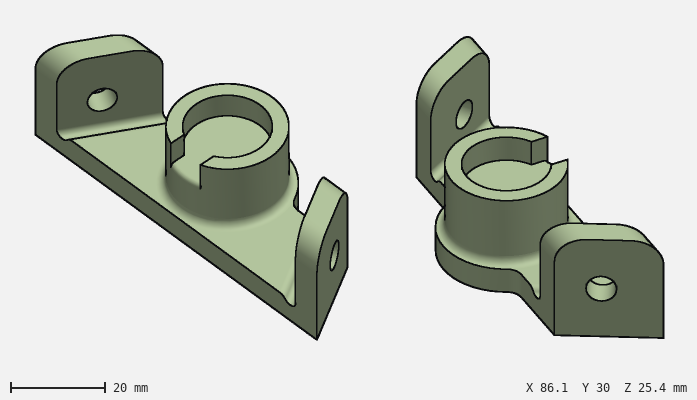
import cadquery as cq
import math

length = 86.1
depth = 20.0
base_height = 6.0
ear_angle = 30.0
lean = math.tan(math.radians(ear_angle))
back_half_length = length / 2 - depth * lean

total_height = 25.4
ear_thickness = 5.7
ear_corner_radius = 6.0
ear_hole_diameter = 6.45
ear_hole_height = 12.6

groove_radius = 1.5
groove_edge_radius = 2.0

pad_radius = 15.0
pad_center_y = pad_radius
pad_blend_radius = 3.4

cup_radius = 13.0
cup_top = 22.55
cup_bore_radius = 9.5
cup_bore_depth = 6.0
cup_floor = cup_top - cup_bore_depth
cup_foot_radius = pad_radius - cup_radius
slot_width = 9.0
slot_edge_radius = 1.0


def trapezoid(height):
    """Full plan outline of the bracket, raised to the given height."""
    outline = [
        (-length / 2, 0),
        (length / 2, 0),
        (back_half_length, depth),
        (-back_half_length, depth),
    ]
    return cq.Workplane("XY").polyline(outline).close().extrude(height)


def ear_frame():
    """Plane across the left ear: x points inward from its outer face, y is Z, origin at mid depth."""
    turn = math.radians(ear_angle)
    return cq.Plane(
        origin=(-length / 2 + depth / 2 * lean, depth / 2, 0),
        xDir=(math.cos(turn), -math.sin(turn), 0),
        normal=(-math.sin(turn), -math.cos(turn), 0),
    )


def left_section():
    """Left ear, the groove at its foot and the base as far as the middle of the part."""
    reach = length
    groove_center = ear_thickness + groove_radius
    center_gap = groove_radius + groove_edge_radius
    edge_run = math.sqrt(center_gap**2 - groove_edge_radius**2)
    edge_center = groove_center + edge_run
    run_ratio = edge_run / center_gap
    drop_ratio = groove_edge_radius / center_gap
    tangent_point = (
        groove_center + groove_radius * run_ratio,
        base_height - groove_radius * drop_ratio,
    )
    groove_angle = (math.pi + math.asin(drop_ratio)) / 2
    groove_middle = (
        groove_center + groove_radius * math.cos(groove_angle),
        base_height - groove_radius * math.sin(groove_angle),
    )
    edge_angle = (math.pi / 2 + math.pi - math.asin(drop_ratio)) / 2
    edge_middle = (
        edge_center + groove_edge_radius * math.cos(edge_angle),
        base_height - groove_edge_radius + groove_edge_radius * math.sin(edge_angle),
    )
    profile = (
        cq.Workplane(ear_frame())
        .moveTo(0, 0)
        .lineTo(0, total_height)
        .lineTo(ear_thickness, total_height)
        .lineTo(ear_thickness, base_height)
        .threePointArc(groove_middle, tangent_point)
        .threePointArc(edge_middle, (edge_center, base_height))
        .lineTo(reach, base_height)
        .lineTo(reach, 0)
        .close()
        .extrude(reach, both=True)
    )
    left_half = (
        cq.Workplane("XY")
        .box(length / 2, depth, total_height, centered=False)
        .translate((-length / 2, 0, 0))
        .edges("|X and >Z")
        .fillet(ear_corner_radius)
    )
    middle_x = -length / 2 + depth / 2 * lean + ear_thickness / math.cos(math.radians(ear_angle)) / 2
    hole_center = (middle_x, depth / 2, ear_hole_height)
    hole = (
        cq.Workplane(cq.Plane(hole_center, normal=ear_frame().xDir))
        .workplane(offset=-ear_thickness)
        .circle(ear_hole_diameter / 2)
        .extrude(2 * ear_thickness)
    )
    return trapezoid(total_height).intersect(left_half).intersect(profile).cut(hole)


def pad_with_blends():
    """Round pad, with concave blends where it leaves the back edge of the plate."""
    blend_y = depth + pad_blend_radius
    rise = blend_y - pad_center_y
    center_gap = pad_radius + pad_blend_radius
    blend_x = math.sqrt(center_gap**2 - rise**2)
    pad_share = pad_radius / center_gap
    tangent_x = blend_x * pad_share
    tangent_y = pad_center_y + rise * pad_share
    blend_angle = (-math.pi / 2 - math.pi + math.atan2(rise, blend_x)) / 2
    middle_x = blend_x + pad_blend_radius * math.cos(blend_angle)
    middle_y = blend_y + pad_blend_radius * math.sin(blend_angle)
    web = (
        cq.Workplane("XY")
        .moveTo(-blend_x, depth)
        .threePointArc((-middle_x, middle_y), (-tangent_x, tangent_y))
        .lineTo(0, pad_center_y)
        .lineTo(tangent_x, tangent_y)
        .threePointArc((middle_x, middle_y), (blend_x, depth))
        .lineTo(blend_x, pad_center_y)
        .lineTo(-blend_x, pad_center_y)
        .close()
        .extrude(base_height)
    )
    pad = cq.Workplane("XY").center(0, pad_center_y).circle(pad_radius).extrude(base_height)
    return pad.union(web)


def cup():
    """Cup with a flared foot, a shallow bore and a slot through the front of its wall."""
    foot_top = base_height + cup_foot_radius
    arc_offset = cup_foot_radius * math.sqrt(0.5)
    foot_middle = (pad_radius - arc_offset, foot_top - arc_offset)
    shoulder = cup_floor - slot_edge_radius
    edge_offset = slot_edge_radius * math.sqrt(0.5)
    edge_middle = (cup_radius - slot_edge_radius + edge_offset, shoulder + edge_offset)
    axis_ends = ((0, 0), (0, 1))
    body = (
        cq.Workplane("XZ")
        .lineTo(pad_radius, 0)
        .lineTo(pad_radius, base_height)
        .threePointArc(foot_middle, (cup_radius, foot_top))
        .lineTo(cup_radius, cup_top)
        .lineTo(cup_bore_radius, cup_top)
        .lineTo(cup_bore_radius, cup_floor)
        .lineTo(0, cup_floor)
        .close()
        .revolve(360, *axis_ends)
    )
    rounded_floor = (
        cq.Workplane("XZ")
        .lineTo(cup_radius, 0)
        .lineTo(cup_radius, shoulder)
        .threePointArc(edge_middle, (cup_radius - slot_edge_radius, cup_floor))
        .lineTo(0, cup_floor)
        .close()
        .revolve(360, *axis_ends)
    )
    slot = (
        cq.Workplane("XY")
        .box(slot_width, 2 * cup_radius, cup_top - shoulder, centered=(True, False, False))
        .translate((0, -2 * cup_radius, shoulder))
        .cut(rounded_floor)
    )
    return body.cut(slot).translate((0, pad_center_y, 0))


left = left_section()
result = left.union(left.mirror("YZ")).union(pad_with_blends()).union(cup())